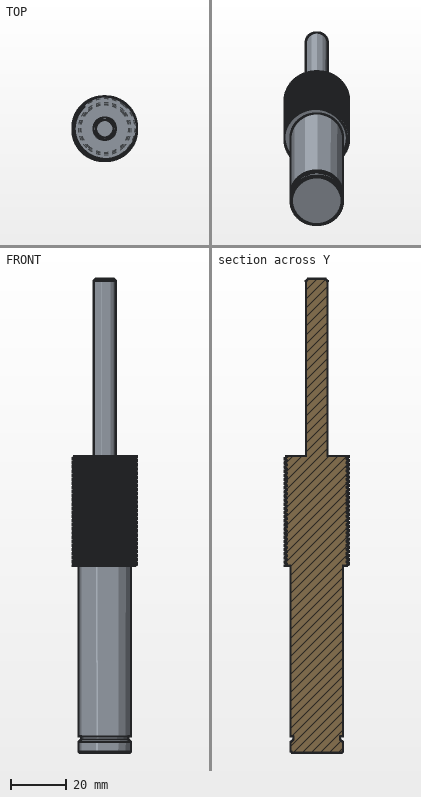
import cadquery as cq

total_length = 172.0
thread_length = 39.9
thread_bottom = 67.8
thread_top = thread_bottom + thread_length

thread_diameter = 23.5
body_diameter = 19.1
groove_diameter = 17.2
rod_diameter = 8.0

thread_pitch = 1.5
thread_depth = 0.9
root_width = 0.2
cutter_width = 1.4
cutter_clearance = 0.2
blank_overrun = 5.2

groove_top = 6.0
groove_flat_height = 1.2
groove_taper_height = 0.9
body_chamfer = 0.5
rod_chamfer = 0.9


def make_body():
    """Lower barrel with a groove that tapers out toward the base."""
    body_radius = body_diameter / 2
    groove_radius = groove_diameter / 2
    groove_flat_bottom = groove_top - groove_flat_height
    taper_bottom = groove_flat_bottom - groove_taper_height
    outline = [
        (0, 0),
        (body_radius - body_chamfer, 0),
        (body_radius, body_chamfer),
        (body_radius, taper_bottom),
        (groove_radius, groove_flat_bottom),
        (groove_radius, groove_top),
        (body_radius, groove_top),
        (body_radius, thread_bottom),
        (0, thread_bottom),
    ]
    return cq.Workplane("XZ").polyline(outline).close().revolve(360, (0, 0, 0), (0, 1, 0))


def make_threaded_collar():
    """Collar with a right-handed thread groove running out through both end faces."""
    crest_radius = thread_diameter / 2
    root_radius = crest_radius - thread_depth
    outer_radius = crest_radius + cutter_clearance
    blank_bottom = thread_bottom - blank_overrun
    cutter_bottom = thread_bottom - thread_pitch
    cutter_length = thread_length + 2 * thread_pitch

    blank = (
        cq.Workplane("XY")
        .workplane(offset=blank_bottom)
        .circle(crest_radius)
        .extrude(thread_length + 2 * blank_overrun)
    )
    helix = cq.Wire.makeHelix(thread_pitch, cutter_length, root_radius, center=cq.Vector(0, 0, cutter_bottom))
    cutter = (
        cq.Workplane("XZ")
        .polyline([
            (root_radius, cutter_bottom - root_width / 2),
            (root_radius, cutter_bottom + root_width / 2),
            (outer_radius, cutter_bottom + cutter_width / 2),
            (outer_radius, cutter_bottom - cutter_width / 2),
        ])
        .close()
        .sweep(cq.Workplane(obj=helix), isFrenet=True)
    )
    trim_side = 2 * thread_diameter
    trim = cq.Workplane("XY").workplane(offset=thread_bottom).rect(trim_side, trim_side).extrude(thread_length)
    return blank.cut(cutter).intersect(trim)


def make_rod():
    """Slim rod with a chamfered tip."""
    return (
        cq.Workplane("XY")
        .workplane(offset=thread_top)
        .circle(rod_diameter / 2)
        .extrude(total_length - thread_top)
        .faces(">Z")
        .chamfer(rod_chamfer)
    )


result = make_body().union(make_threaded_collar()).union(make_rod())